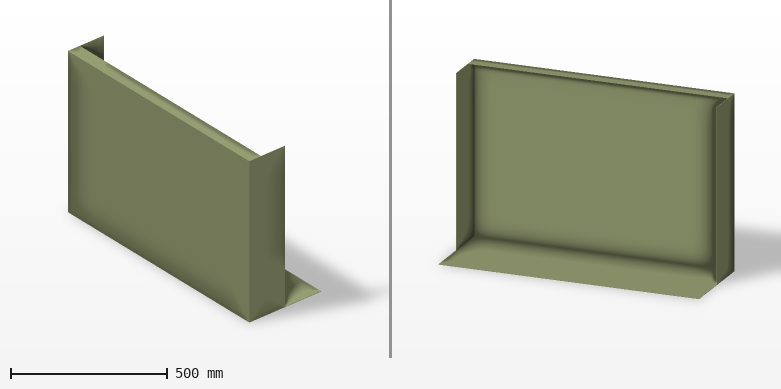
import cadquery as cq

width = 900.0
height = width * 2 / 3
floor_depth = width / 3
side_depth = floor_depth / 2
lip_depth = side_depth / 3
sheet = 1.5


def panel(size_x, size_y, size_z, start_x=0):
    """Plate reaching back and up from the bottom front edge."""
    return cq.Workplane("XY").box(size_x, size_y, size_z, centered=False).translate((start_x, 0, 0))


front = panel(width, sheet, height)
floor = panel(width, floor_depth, sheet)
top_lip = panel(width, lip_depth, sheet).translate((0, 0, height - sheet))

result = front.union(floor).union(top_lip)

for wall_x in (0, width - sheet):
    result = result.union(panel(sheet, side_depth, height, wall_x))